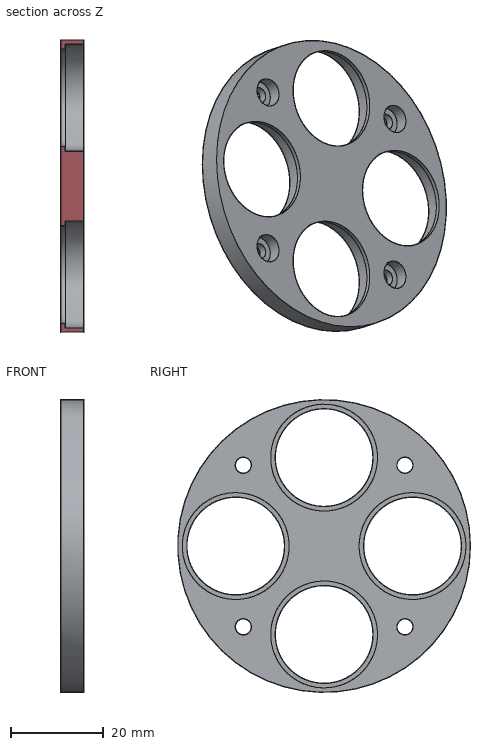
import cadquery as cq

plate_diameter = 63.0
plate_thickness = 5.0

window_diameter = 21.0
window_recess_diameter = 23.0
window_lip_thickness = 1.0
window_offset = 19.0

screw_diameter = 3.4
head_diameter = 6.0
head_depth = 3.0
screw_offset = 17.4

front_x = -plate_thickness / 2
window_centers = [
    (window_offset, 0),
    (0, window_offset),
    (-window_offset, 0),
    (0, -window_offset),
]
screw_centers = [(y * screw_offset, z * screw_offset) for y in (-1, 1) for z in (-1, 1)]


def cylinders(centers, diameter, start_x, length):
    """Cylinders along +X at the given (y, z) centers."""
    plane = cq.Workplane("YZ", origin=(start_x, 0, 0))
    return plane.pushPoints(centers).circle(diameter / 2).extrude(length)


plate = cylinders([(0, 0)], plate_diameter, front_x, plate_thickness)

plate = plate.cut(cylinders(window_centers, window_diameter, front_x, plate_thickness))
recess_depth = plate_thickness - window_lip_thickness
recess_start = front_x + window_lip_thickness
plate = plate.cut(cylinders(window_centers, window_recess_diameter, recess_start, recess_depth))

plate = plate.cut(cylinders(screw_centers, screw_diameter, front_x, plate_thickness))
plate = plate.cut(cylinders(screw_centers, head_diameter, front_x, head_depth))

result = plate